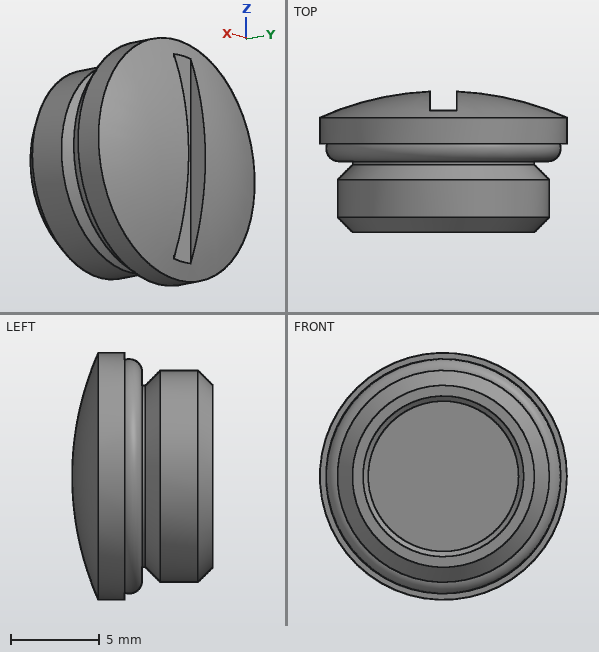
import cadquery as cq
import math

height = 8.0
head_radius = 7.0
head_rim = 1.5
dome_height = 1.5

ring_cord_radius = 1.5 / 2
ring_exposed_height = 1.0

shank_radius = 12.0 / 2
neck_radius = 10.3 / 2
bevel = shank_radius - neck_radius
shank_length = 3.82

recess_mouth_radius = 4.55
recess_floor_radius = 4.25
recess_depth = 0.3

slot_width = 1.5
slot_depth = 1.09

rim_top = height - dome_height
rim_bottom = rim_top - head_rim
ring_bottom = rim_bottom - ring_exposed_height
ring_center_y = ring_bottom + ring_cord_radius
ring_center_radius = neck_radius + ring_cord_radius
ring_seat_half_width = math.sqrt(ring_cord_radius**2 - (rim_bottom - ring_center_y)**2)
ring_seat_radius = ring_center_radius + ring_seat_half_width

dome_radius = (head_radius**2 + dome_height**2) / (2 * dome_height)
dome_mid_x = head_radius / 2
dome_mid_y = height - dome_radius + math.sqrt(dome_radius**2 - dome_mid_x**2)


def make_body():
    """Revolve the half section, including the shallow tapered end recess."""
    section = (
        cq.Workplane("XY")
        .moveTo(0, recess_depth)
        .lineTo(recess_floor_radius, recess_depth)
        .lineTo(recess_mouth_radius, 0)
        .lineTo(neck_radius, 0)
        .lineTo(shank_radius, bevel)
        .lineTo(shank_radius, shank_length - bevel)
        .lineTo(neck_radius, shank_length)
        .lineTo(neck_radius, ring_center_y)
        .threePointArc((ring_center_radius, ring_bottom), (ring_seat_radius, rim_bottom))
        .lineTo(head_radius, rim_bottom)
        .lineTo(head_radius, rim_top)
        .threePointArc((dome_mid_x, dome_mid_y), (0, height))
        .close()
    )
    return section.revolve(360, (0, 0, 0), (0, 1, 0))


def make_slot():
    """Screwdriver slot along Z across the whole dome; the cutter rises clear of the apex."""
    return (
        cq.Workplane("XY")
        .box(slot_width, 2 * slot_depth, 2 * head_radius)
        .translate((0, height, 0))
    )


result = make_body().cut(make_slot())